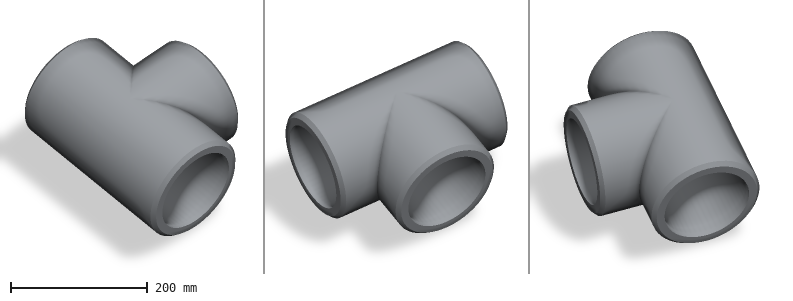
import cadquery as cq

outer_diameter = 168.28
wall_thickness = 18.26
center_to_end = 142.75
bevel = 6.0

bore_diameter = outer_diameter - 2 * wall_thickness
run_length = 2 * center_to_end


def run_cylinder(diameter):
    """Cylinder along X, centred on the origin, spanning both run ends."""
    return cq.Workplane("YZ").circle(diameter / 2).extrude(run_length / 2, both=True)


def branch_cylinder(diameter):
    """Cylinder from the run axis out to the branch end at +Y."""
    return cq.Workplane("XZ").circle(diameter / 2).extrude(-center_to_end)


run = run_cylinder(outer_diameter).faces("<X or >X").edges().chamfer(bevel)
branch = branch_cylinder(outer_diameter).faces(">Y").edges().chamfer(bevel)

bores = run_cylinder(bore_diameter).union(branch_cylinder(bore_diameter))

result = run.union(branch).cut(bores)